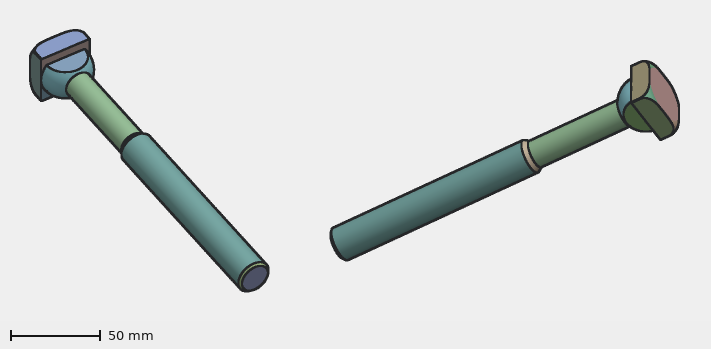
import cadquery as cq
import math

head_width = 32.0
head_thickness = 12.0
head_corner_diameter = 44.8
head_face_diameter = 32.4
head_rounding = (head_corner_diameter - head_face_diameter) / 2

collar_radius = head_width / 2
collar_height = 20.0

length_below_head = 200.0
rod_length = 125.0
rod_radius = 10.0
neck_radius = 8.16
shoulder_angle = 30.0
end_chamfer = 1.5

overall_length = head_thickness + length_below_head
rod_start = overall_length - rod_length
shoulder_length = (rod_radius - neck_radius) / math.tan(math.radians(shoulder_angle))


def make_head():
    """Square plate whose corners follow a round disc with a rounded front rim."""
    plate = cq.Workplane("YZ").rect(head_width, head_width).extrude(head_thickness)
    disc = (
        cq.Workplane("YZ")
        .circle(head_corner_diameter / 2)
        .extrude(head_thickness)
        .faces("<X")
        .edges()
        .fillet(head_rounding)
    )
    return plate.intersect(disc)


def make_collar():
    """Half ball centred on the back of the head, cut flat at the top and bottom."""
    ball = cq.Workplane("XY").sphere(collar_radius).translate((head_thickness, 0, 0))
    slab = (
        cq.Workplane("XY")
        .box(collar_radius, 2 * collar_radius, collar_height, centered=(False, True, True))
        .translate((head_thickness, 0, 0))
    )
    return ball.intersect(slab)


def make_shank():
    """Neck, conical shoulder and chamfered rod turned about the X axis."""
    return (
        cq.Workplane("XY")
        .moveTo(head_thickness, 0)
        .lineTo(head_thickness, -neck_radius)
        .lineTo(rod_start - shoulder_length, -neck_radius)
        .lineTo(rod_start, -rod_radius)
        .lineTo(overall_length - end_chamfer, -rod_radius)
        .lineTo(overall_length, -rod_radius + end_chamfer)
        .lineTo(overall_length, 0)
        .close()
        .revolve(360, (0, 0, 0), (1, 0, 0))
    )


result = make_head().union(make_collar()).union(make_shank())